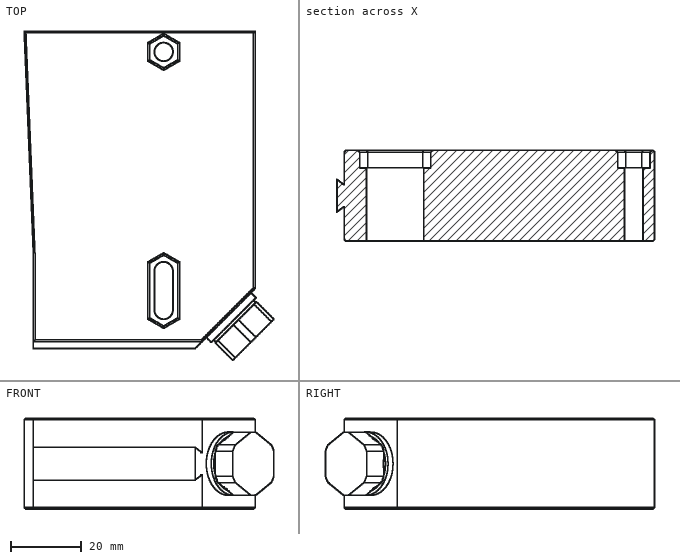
import cadquery as cq
import math

HEIGHT = 25.8
WIDTH = 65.58
BODY_LENGTH = 88.1
TAPER_LENGTH = 63.0
TAPER_INSET = 2.6
CORNER_CUT_START = 73.02
EDGE_CHAMFER = 0.5
CORNER_CUT = BODY_LENGTH - CORNER_CUT_START

RAIL_DEPTH = 2.0
RAIL_ROOT_WIDTH = 6.2
RAIL_FACE_WIDTH = 9.3

MOUNT_X = 39.6
MOUNT_DIAMETER = 5.2
HOLE_Y = -5.9
SLOT_Y = -73.6
SLOT_TRAVEL = 11.0
NUT_FLATS = 7.9
NUT_POCKET_DEPTH = 5.0
NUT_LEAD_IN = 0.55

COLLAR_DIAMETER = 18.0
COLLAR_THICKNESS = 2.0
NECK_DIAMETER = 16.0
NECK_LENGTH = 0.9
CONNECTOR_NUT_FLATS = 16.5
CONNECTOR_NUT_LENGTH = 7.0


def housing():
    outline = [
        (0, 0),
        (WIDTH, 0),
        (WIDTH, -CORNER_CUT_START),
        (WIDTH - CORNER_CUT, -BODY_LENGTH),
        (TAPER_INSET, -BODY_LENGTH),
        (TAPER_INSET, -TAPER_LENGTH),
    ]
    block = cq.Workplane("XY").polyline(outline).close().extrude(HEIGHT / 2, both=True)
    return block.faces("|Z").chamfer(EDGE_CHAMFER)


def dovetail_rail():
    root_y = -BODY_LENGTH
    face_y = root_y - RAIL_DEPTH
    root_end_x = WIDTH - CORNER_CUT
    section = [
        (root_y, -RAIL_ROOT_WIDTH / 2),
        (root_y, RAIL_ROOT_WIDTH / 2),
        (face_y, RAIL_FACE_WIDTH / 2),
        (face_y, -RAIL_FACE_WIDTH / 2),
    ]
    rail_start = cq.Workplane("YZ", origin=(TAPER_INSET, 0, 0))
    rail = rail_start.polyline(section).close().extrude(root_end_x - TAPER_INSET)
    plan = [
        (TAPER_INSET, root_y),
        (root_end_x, root_y),
        (root_end_x - RAIL_DEPTH, face_y),
        (TAPER_INSET, face_y),
    ]
    end_limit = cq.Workplane("XY").polyline(plan).close().extrude(HEIGHT / 2, both=True)
    return rail.intersect(end_limit)


def stretched_hexagon(flats, travel, z):
    """Hexagon with flats facing X, pulled apart along Y by the travel."""
    side = flats / math.sqrt(3)
    corner_y = (side + travel) / 2
    tip_y = side + travel / 2
    half = flats / 2
    points = [
        (half, corner_y),
        (0, tip_y),
        (-half, corner_y),
        (-half, -corner_y),
        (0, -tip_y),
        (half, -corner_y),
    ]
    return cq.Workplane("XY", origin=(0, 0, z)).polyline(points).close()


def mount_cutter(y, travel):
    """Through hole, or slot if it has travel, with its nut pocket and the pocket's lead-in."""
    top = HEIGHT / 2
    pocket = stretched_hexagon(NUT_FLATS, travel, top).extrude(-NUT_POCKET_DEPTH)
    lead_in = stretched_hexagon(NUT_FLATS + 2 * NUT_LEAD_IN, travel, top).extrude(-NUT_LEAD_IN, taper=45)
    bore = cq.Workplane("XY")
    if travel:
        bore = bore.slot2D(travel + MOUNT_DIAMETER, MOUNT_DIAMETER, 90)
    else:
        bore = bore.circle(MOUNT_DIAMETER / 2)
    bore = bore.extrude(top, both=True)
    return bore.union(pocket).union(lead_in).translate((MOUNT_X, y, 0))


def connector():
    face_centre = (
        WIDTH - CORNER_CUT / 2,
        -(CORNER_CUT_START + BODY_LENGTH) / 2,
        0,
    )
    seat = cq.Plane(origin=face_centre, xDir=(1, 1, 0), normal=(1, -1, 0))
    neck_start = COLLAR_THICKNESS
    nut_start = neck_start + NECK_LENGTH
    collar = cq.Workplane(seat).circle(COLLAR_DIAMETER / 2).extrude(COLLAR_THICKNESS)
    neck = cq.Workplane(seat).workplane(offset=neck_start).circle(NECK_DIAMETER / 2).extrude(NECK_LENGTH)
    nut_base = cq.Workplane(seat).workplane(offset=nut_start)
    hexagon = nut_base.polygon(6, CONNECTOR_NUT_FLATS, circumscribed=True).extrude(CONNECTOR_NUT_LENGTH)
    nut = hexagon.intersect(nut_base.circle(COLLAR_DIAMETER / 2).extrude(CONNECTOR_NUT_LENGTH))
    return collar.union(neck).union(nut)


result = housing().union(dovetail_rail()).union(connector())
result = result.cut(mount_cutter(HOLE_Y, 0)).cut(mount_cutter(SLOT_Y, SLOT_TRAVEL))